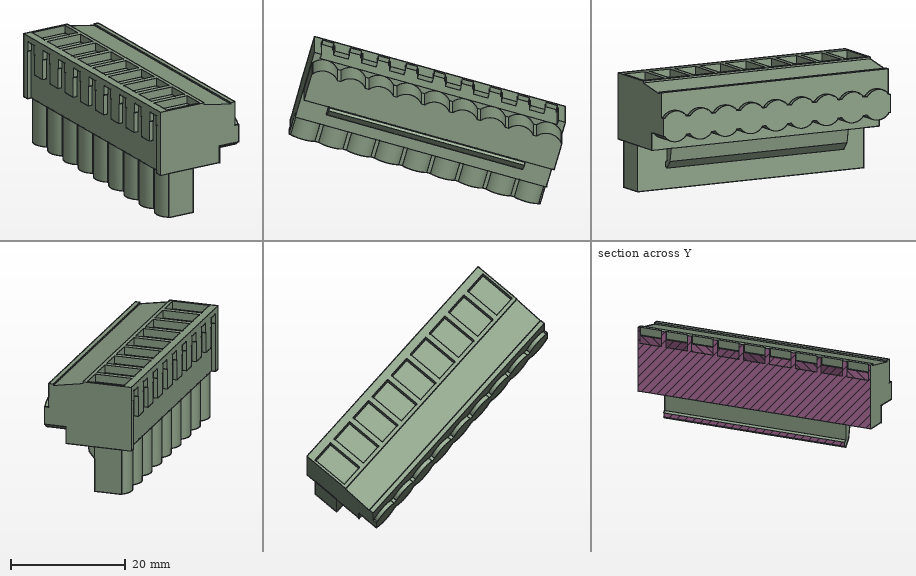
import cadquery as cq

POLES = 9
OVERALL_LENGTH = 45.7
PITCH = OVERALL_LENGTH / POLES
HOUSING_LENGTH = 45.65
HOUSING_HALF = HOUSING_LENGTH / 2
POLE_CENTERS = [(i - (POLES - 1) / 2) * PITCH for i in range(POLES)]

TOP_Z = 20.05
BOTTOM_Z = 8.28
TOP_REAR_Y = 8.95
SLOPE_START_Z = 19.75
SLOPE_END_Z = 18.75
RIM_Z = 19.0
RIM_FRONT_Y = 14.45
RIM_REAR_Y = 15.3
STEP_Y = 12.1

BARREL_REAR_Y = 16.1
BARREL_Z = 13.0
BARREL_RADIUS = 2.75
BARREL_WEB_HEIGHT = 3.25
BARREL_WEB_BOTTOM_Z = BARREL_Z - BARREL_WEB_HEIGHT / 2

LIP_LENGTH = 0.1
LIP_THICKNESS = 0.1

COMB_DEPTH = 0.8
COMB_TEETH_BOTTOM_Z = 13.5
FINGER_SHOULDER_Z = 17.2
FINGER_TOP_Z = 18.97
FINGER_LOWER_WIDTH = 2.42
FINGER_UPPER_WIDTH = 2.05
PANEL_LENGTH = (POLES - 1) * PITCH + FINGER_LOWER_WIDTH

SOCKET_LENGTH = 45.45
SOCKET_REAR_Y = 6.8
SOCKET_WEB_Y = 1.85
SOCKET_ARC_WIDTH = 4.5
SOCKET_FRONT_Y = COMB_DEPTH

LATCH_LENGTH = (POLES - 2) * PITCH
LATCH_REAR_Y = 10.1
LATCH_FRONT_Y = 8.4
LATCH_BEND_Y = 9.55
LATCH_BEND_Z = 5.4
LATCH_NOSE_Y = 7.95
LATCH_NOSE_TOP_Z = 5.05
LATCH_NOSE_BOTTOM_Z = 4.35
LATCH_TIP_Z = 4.02

POCKET_WIDTH = 4.1
POCKET_FRONT_Y = 1.5
POCKET_REAR_Y = 8.28
POCKET_DEPTH = 1.4
TERMINAL_HEIGHT = 1.4
TERMINAL_TOP_Z = TOP_Z - POCKET_DEPTH
TERMINAL_BOTTOM_Z = TERMINAL_TOP_Z - TERMINAL_HEIGHT


def box(x_range, y_range, z_range):
    """Box between the given limits along each axis."""
    lows, highs = zip(x_range, y_range, z_range)
    size = [high - low for low, high in zip(lows, highs)]
    return cq.Workplane("XY").box(*size, centered=False).translate(lows)


def centered_box(center_x, width, y_range, z_range):
    """Box of the given width along X, centred on center_x."""
    return box((center_x - width / 2, center_x + width / 2), y_range, z_range)


def make_shell():
    """Main block with its sloping top, rear rim and rear step."""
    profile = [
        (0, BOTTOM_Z),
        (STEP_Y, BOTTOM_Z),
        (STEP_Y, BARREL_WEB_BOTTOM_Z),
        (RIM_REAR_Y, BARREL_WEB_BOTTOM_Z),
        (RIM_REAR_Y, RIM_Z),
        (RIM_FRONT_Y, RIM_Z),
        (RIM_FRONT_Y, SLOPE_END_Z),
        (TOP_REAR_Y, SLOPE_START_Z),
        (TOP_REAR_Y, TOP_Z),
        (0, TOP_Z),
    ]
    return cq.Workplane("YZ").polyline(profile).close().extrude(HOUSING_HALF, both=True)


def make_barrels():
    """Round wire entries joined by a flat web."""
    web_top_z = BARREL_WEB_BOTTOM_Z + BARREL_WEB_HEIGHT
    web = centered_box(0, HOUSING_LENGTH, (STEP_Y, BARREL_REAR_Y), (BARREL_WEB_BOTTOM_Z, web_top_z))
    barrels = web
    for x in POLE_CENTERS:
        barrel = cq.Workplane("XZ", origin=(x, STEP_Y, BARREL_Z)).circle(BARREL_RADIUS)
        barrels = barrels.union(barrel.extrude(STEP_Y - BARREL_REAR_Y))
    limits = centered_box(0, HOUSING_LENGTH, (STEP_Y, BARREL_REAR_Y), (0, TOP_Z))
    return barrels.intersect(limits)


def make_lip():
    """Thin strip standing out from the +X end at the rear step."""
    return box(
        (HOUSING_HALF - LIP_LENGTH, HOUSING_HALF + LIP_LENGTH),
        (STEP_Y - LIP_THICKNESS, STEP_Y),
        (BOTTOM_Z, BARREL_WEB_BOTTOM_Z),
    )


def make_comb():
    """Cutter for the front recess: a panel with one stepped finger above it per pole."""
    depth = (0, COMB_DEPTH)
    comb = centered_box(0, PANEL_LENGTH, depth, (BOTTOM_Z, COMB_TEETH_BOTTOM_Z))
    for x in POLE_CENTERS:
        lower = centered_box(x, FINGER_LOWER_WIDTH, depth, (COMB_TEETH_BOTTOM_Z, FINGER_SHOULDER_Z))
        upper = centered_box(x, FINGER_UPPER_WIDTH, depth, (FINGER_SHOULDER_Z, FINGER_TOP_Z))
        comb = comb.union(lower).union(upper)
    return comb


def make_sockets():
    """Socket strip with a bulging front at each pole and flat webs between."""
    outline = cq.Workplane("XY").moveTo(-SOCKET_LENGTH / 2, SOCKET_REAR_Y)
    outline = outline.lineTo(-SOCKET_LENGTH / 2, SOCKET_WEB_Y)
    for x in POLE_CENTERS:
        outline = outline.lineTo(x - SOCKET_ARC_WIDTH / 2, SOCKET_WEB_Y)
        outline = outline.threePointArc((x, SOCKET_FRONT_Y), (x + SOCKET_ARC_WIDTH / 2, SOCKET_WEB_Y))
    outline = outline.lineTo(SOCKET_LENGTH / 2, SOCKET_WEB_Y)
    outline = outline.lineTo(SOCKET_LENGTH / 2, SOCKET_REAR_Y)
    return outline.close().extrude(BOTTOM_Z)


def make_latch():
    """Hook that tapers downward and ends in a forward-facing nose."""
    profile = [
        (LATCH_FRONT_Y, BOTTOM_Z),
        (LATCH_REAR_Y, BOTTOM_Z),
        (LATCH_BEND_Y, LATCH_BEND_Z),
        (LATCH_FRONT_Y, LATCH_TIP_Z),
        (LATCH_NOSE_Y, LATCH_NOSE_BOTTOM_Z),
        (LATCH_NOSE_Y, LATCH_NOSE_TOP_Z),
        (LATCH_FRONT_Y, LATCH_BEND_Z),
    ]
    return cq.Workplane("YZ").polyline(profile).close().extrude(LATCH_LENGTH / 2, both=True)


def make_pocket(center_x):
    """Cutter for one pocket, deep enough to hold a terminal below its opening."""
    return centered_box(center_x, POCKET_WIDTH, (POCKET_FRONT_Y, POCKET_REAR_Y), (TERMINAL_BOTTOM_Z, TOP_Z))


def make_housing():
    """Complete housing as one solid."""
    housing = make_shell().union(make_barrels()).union(make_lip())
    housing = housing.cut(make_comb())
    housing = housing.union(make_sockets()).union(make_latch())
    for x in POLE_CENTERS:
        housing = housing.cut(make_pocket(x))
    return housing


def make_terminal(center_x):
    """Terminal block that fills the lower part of one pocket."""
    y_range = (POCKET_FRONT_Y, POCKET_REAR_Y)
    return centered_box(center_x, POCKET_WIDTH, y_range, (TERMINAL_BOTTOM_Z, TERMINAL_TOP_Z))


housing = make_housing()
terminals = [make_terminal(x) for x in POLE_CENTERS]

result = cq.Compound.makeCompound([housing.val(), *[terminal.val() for terminal in terminals]])